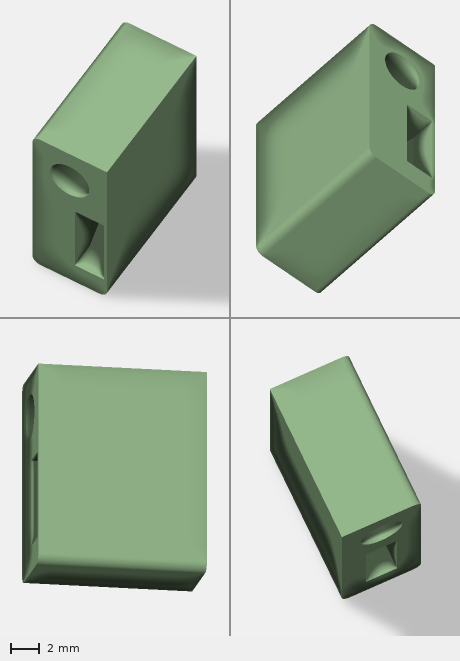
import cadquery as cq

width = 6.1
depth = 12.0
height = 14.4
edge_radius = 0.63

bore_diameter = 3.2
bore_x = width / 2
bore_z = height - width / 2

slot_width = 2.39
slot_left_back = (width - slot_width) / 2
slot_shift = 1.61
slot_left_front = slot_left_back + slot_shift
front_run = 2.0
slant_length = 6.5
slant_end = front_run + slant_length
slot_bottom = 1.89
slot_height = 6.19


def make_body():
    """Block with every lengthwise edge rounded except the upper right one."""
    block = cq.Workplane("XY").box(width, depth, height, centered=False)
    return block.edges("|Y").edges("<X or <Z").fillet(edge_radius)


def make_bore():
    """Cylinder through the full depth."""
    return (
        cq.Workplane("XZ")
        .center(bore_x, bore_z)
        .circle(bore_diameter / 2)
        .extrude(-depth)
    )


def make_slot():
    """Channel of constant width along X, straight at both ends with a slant between."""
    return (
        cq.Workplane("XY", origin=(0, 0, slot_bottom))
        .moveTo(slot_left_front, 0)
        .line(slot_width, 0)
        .line(0, front_run)
        .line(-slot_shift, slant_length)
        .lineTo(slot_left_back + slot_width, depth)
        .line(-slot_width, 0)
        .lineTo(slot_left_back, slant_end)
        .lineTo(slot_left_front, front_run)
        .close()
        .extrude(slot_height)
    )


result = make_body().cut(make_bore()).cut(make_slot())